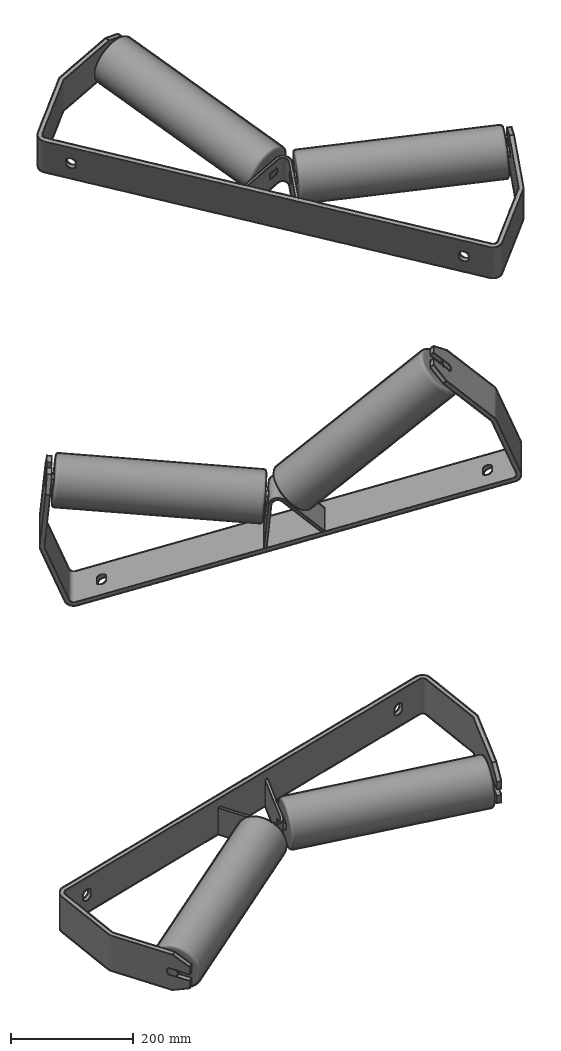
import cadquery as cq
import math

frame_length = 790.0
bar_height = 80.0
bar_thickness = 8.0
bend_inner_radius = 8.0
bend_outer_radius = bend_inner_radius + bar_thickness
lean_angle = 25.0
arm_bend_start = 131.0
arm_tip_y = 264.0
tip_bevel_along = 30.0
tip_bevel_up = 16.0

mount_hole_width = 16.5
mount_hole_height = 24.5
mount_hole_x = 334.0

roller_diameter = 89.0
roller_radius = roller_diameter / 2
roller_edge_fillet = 5.0
roller_tilt = 1.1
shaft_diameter = 20.0
shaft_radius = shaft_diameter / 2
shaft_flat_width = 14.0
end_gap = 5.9
shaft_center_y = 236.0

bracket_thickness = 5.0
bracket_height = 60.0
bracket_outer_radius = 15.0
bracket_top_y = 101.0

lean_sin = math.sin(math.radians(lean_angle))
lean_cos = math.cos(math.radians(lean_angle))
half_length = frame_length / 2
bend_center_x = -half_length + bend_outer_radius
arm_start_x = bend_center_x - bend_outer_radius * lean_cos
arm_start_y = arm_bend_start + bend_outer_radius * lean_sin
arm_length = (arm_tip_y - arm_start_y) / lean_cos
arm_tip_x = arm_start_x + arm_length * lean_sin
shaft_end_x = arm_start_x + (shaft_center_y - arm_start_y) * lean_sin / lean_cos
wall_inside_x = -half_length + bar_thickness
bracket_bend_y = bracket_top_y - bracket_outer_radius

bracket_face_distance = (
    -shaft_end_x * lean_cos + (shaft_center_y - bracket_bend_y) * lean_sin - bracket_outer_radius
)
shaft_length = bracket_face_distance + bracket_thickness
roller_start = bar_thickness + end_gap
roller_end = bracket_face_distance - end_gap


def on_left_axis(shape):
    """Move a shape built along +X onto the left roller axis, which leans and dips toward the centre."""
    return (
        shape.rotate((0, 0, 0), (0, 1, 0), roller_tilt)
        .rotate((0, 0, 0), (0, 0, 1), -lean_angle)
        .translate((shaft_end_x, shaft_center_y, 0))
    )


def both_sides(left_half):
    """Join a left half with its mirror image into one body."""
    return left_half.union(left_half.mirror("YZ")).clean()


def arc_point(center, radius, angle):
    """Point on a circle, with the angle in degrees from +X."""
    turn = math.radians(angle)
    return (center[0] + radius * math.cos(turn), center[1] + radius * math.sin(turn))


def make_rod(start, end):
    """Stretch of shaft along +X: round, with two flats facing up and down."""
    length = end - start
    flats = cq.Workplane("YZ", origin=(start, 0, 0)).rect(shaft_diameter, shaft_flat_width).extrude(length)
    return cq.Workplane("YZ", origin=(start, 0, 0)).circle(shaft_radius).extrude(length).intersect(flats)


def make_roller(side):
    """Drum on the left or right side, with rounded edges, in one piece with its shaft."""
    drum = (
        cq.Workplane("XY")
        .moveTo(roller_start, 0)
        .lineTo(roller_start, -roller_radius)
        .lineTo(roller_end, -roller_radius)
        .lineTo(roller_end, 0)
        .close()
        .revolve(360, (0, 0, 0), (1, 0, 0))
        .faces("<X or >X")
        .edges()
        .fillet(roller_edge_fillet)
    )
    left_roller = on_left_axis(drum.union(make_rod(0, shaft_length)))
    return left_roller if side == "left" else left_roller.mirror("YZ")


def make_left_bar():
    """Left half of the bent bar, up to the middle of its long side."""
    base_bend = (bend_center_x, bend_outer_radius)
    arm_bend = (bend_center_x, arm_bend_start)
    base_middle = 225
    wall_outside_start = (-half_length, bend_outer_radius)
    arm_bend_end = 180 - lean_angle
    arm_middle = 180 - lean_angle / 2
    return (
        cq.Workplane("XY", origin=(0, 0, -bar_height / 2))
        .moveTo(0, 0)
        .lineTo(bend_center_x, 0)
        .threePointArc(arc_point(base_bend, bend_outer_radius, base_middle), wall_outside_start)
        .lineTo(-half_length, arm_bend_start)
        .threePointArc(arc_point(arm_bend, bend_outer_radius, arm_middle), (arm_start_x, arm_start_y))
        .lineTo(arm_tip_x, arm_tip_y)
        .lineTo(arm_tip_x + bar_thickness * lean_cos, arm_tip_y - bar_thickness * lean_sin)
        .lineTo(*arc_point(arm_bend, bend_inner_radius, arm_bend_end))
        .threePointArc(arc_point(arm_bend, bend_inner_radius, arm_middle), (wall_inside_x, arm_bend_start))
        .lineTo(wall_inside_x, bend_outer_radius)
        .threePointArc(arc_point(base_bend, bend_inner_radius, base_middle), (bend_center_x, bar_thickness))
        .lineTo(0, bar_thickness)
        .close()
        .extrude(bar_height)
    )


def make_tip_corners():
    """Triangular prisms that bevel the two corners of the left arm tip."""
    arm_face = cq.Plane(
        origin=(arm_tip_x, arm_tip_y, 0),
        xDir=(lean_sin, lean_cos, 0),
        normal=(lean_cos, -lean_sin, 0),
    )
    half_height = bar_height / 2
    corner = (
        cq.Workplane(arm_face)
        .moveTo(0, half_height)
        .lineTo(-tip_bevel_along, half_height)
        .lineTo(0, half_height - tip_bevel_up)
        .close()
        .extrude(bar_thickness)
    )
    return corner.union(corner.mirror("XY"))


def make_shaft_slot():
    """Slot open at the left arm tip, with the flatted shaft shape as its closed end."""
    cut_start = -bar_thickness
    cut_end = roller_start
    seat = make_rod(cut_start, cut_end)
    opening = (
        cq.Workplane("XY", origin=(cut_start, 0, 0))
        .box(cut_end - cut_start, arm_length, shaft_flat_width, centered=(False, False, True))
    )
    return on_left_axis(seat.union(opening))


def make_mount_hole():
    """Upright oblong hole through the long side of the bar."""
    return (
        cq.Workplane("XZ", origin=(-mount_hole_x, 0, 0))
        .slot2D(mount_hole_height, mount_hole_width, 90)
        .extrude(-bar_thickness)
    )


def make_frame():
    """Bent bar with bevelled arm tips, shaft slots and mounting holes."""
    left_half = make_left_bar().cut(make_tip_corners()).cut(make_shaft_slot()).cut(make_mount_hole())
    return both_sides(left_half)


def make_bracket():
    """Rounded peak with two straight legs that stand on the bar and carry the inner shaft ends."""
    peak = (0, bracket_bend_y)
    leg_angle = 180 - lean_angle
    inner_radius = bracket_outer_radius - bracket_thickness
    outer_leg_top = arc_point(peak, bracket_outer_radius, leg_angle)
    inner_leg_top = arc_point(peak, inner_radius, leg_angle)
    lean_slope = lean_sin / lean_cos
    left_half = (
        cq.Workplane("XY", origin=(0, 0, -bar_height / 2))
        .moveTo(outer_leg_top[0] - (outer_leg_top[1] - bar_thickness) * lean_slope, bar_thickness)
        .lineTo(*outer_leg_top)
        .threePointArc(arc_point(peak, bracket_outer_radius, 90 + lean_angle), (0, bracket_top_y))
        .lineTo(0, bracket_top_y - bracket_thickness)
        .threePointArc(arc_point(peak, inner_radius, 90 + lean_angle), inner_leg_top)
        .lineTo(inner_leg_top[0] - (inner_leg_top[1] - bar_thickness) * lean_slope, bar_thickness)
        .close()
        .extrude(bracket_height)
    )
    shaft_hole = on_left_axis(make_rod(roller_end, shaft_length + bracket_thickness))
    return both_sides(left_half.cut(shaft_hole))


frame = make_frame()
bracket = make_bracket()
rollers = [make_roller(side) for side in ("left", "right")]

result = cq.Compound.makeCompound([frame.val(), bracket.val(), *[roller.val() for roller in rollers]])